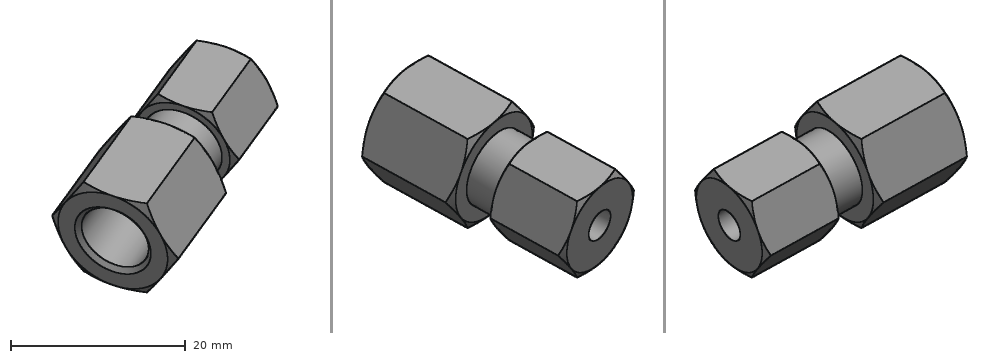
import cadquery as cq
import math

overall_length = 29.02
large_across_flats = 14.0
large_length = 13.5
small_across_flats = 12.0
neck_diameter = 10.0
neck_length = 4.5
corner_chamfer_angle = 30.0

passage_diameter = 4.0
socket_diameter = 8.566
socket_mouth_diameter = 9.728
socket_depth = 10.0

neck_start = large_length
small_start = large_length + neck_length
small_length = overall_length - small_start
socket_chamfer = (socket_mouth_diameter - socket_diameter) / 2


def plane_at(y):
    """XZ plane at the given Y, with its normal along +Y and its local x along -X."""
    return cq.Workplane(cq.Plane(origin=(0, y, 0), xDir=(-1, 0, 0), normal=(0, 1, 0)))


def cylinder(y, diameter, length):
    return plane_at(y).circle(diameter / 2).extrude(length)


def chamfered_hex(y, across_flats, length):
    """Hexagonal bar with corners on the X axis and conical corner chamfers at both ends."""
    across_corners = across_flats / math.cos(math.radians(30))
    face_radius = across_flats / 2
    corner_radius = across_corners / 2
    cone_depth = (corner_radius - face_radius) * math.tan(math.radians(corner_chamfer_angle))
    end = y + length

    hex_bar = plane_at(y).polygon(6, across_corners).extrude(length)
    envelope = (
        cq.Workplane("XY")
        .moveTo(0, y)
        .lineTo(face_radius, y)
        .lineTo(corner_radius, y + cone_depth)
        .lineTo(corner_radius, end - cone_depth)
        .lineTo(face_radius, end)
        .lineTo(0, end)
        .close()
        .revolve(360, (0, 0, 0), (0, 1, 0))
    )
    return hex_bar.intersect(envelope)


def socket():
    """Blind bore in the large hex, opening through a 45 degree chamfer at the front face."""
    return (
        cq.Workplane("XY")
        .lineTo(socket_mouth_diameter / 2, 0)
        .lineTo(socket_diameter / 2, socket_chamfer)
        .lineTo(socket_diameter / 2, socket_depth)
        .lineTo(0, socket_depth)
        .close()
        .revolve(360, (0, 0, 0), (0, 1, 0))
    )


body = chamfered_hex(0, large_across_flats, large_length)
body = body.union(cylinder(neck_start, neck_diameter, neck_length))
body = body.union(chamfered_hex(small_start, small_across_flats, small_length))

result = body.cut(socket()).cut(cylinder(0, passage_diameter, overall_length))